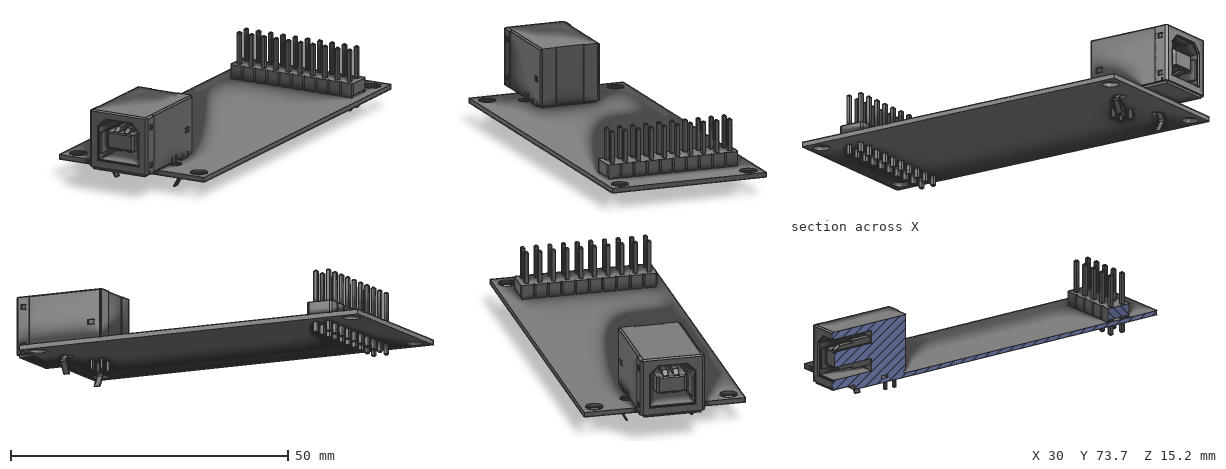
import cadquery as cq

TINY_OVERLAP = 0.05

board_width = 30.0
board_length = 68.5
board_thickness = 0.88
mount_hole_diameter = 3.1
mount_hole_inset = 2.5

header_columns = 10
header_rows = 2
pitch = 2.54
header_center_x = 0.6
header_center_y = board_length / 2 - 8.67
header_depth = 4.9
header_top = 2.65
header_standoff = 0.4
header_notch_width = 0.22
header_notch_depth = 0.4
foot_depth = 0.35
header_hole_diameter = 1.02
header_pin_side = 0.64
header_pin_tip = 0.22
header_pin_top = 8.7
header_pin_bottom = -2.84

socket_center_x = 0.15
overall_length = 73.71
overall_height = 15.22
socket_front = board_length / 2 - overall_length
socket_half_width = 5.78
socket_bottom = 0.44
clip_bottom = -4.1
socket_top = clip_bottom + overall_height
socket_back = socket_front + 16.82
top_half_width = 5.4
top_chamfer = 0.22
collar_half_width = 5.98
face_half_width = 5.5
face_bevel = 0.4
collar_length = 2.6
back_flap_width = 2.7
back_flap_thickness = 0.22

base_half_width = 5.3
base_end_inset = 0.35
base_gap_length = 1.3
base_gap_front = socket_front + 11.4

signal_pin_half_spacing = 1.25
signal_pin_row_spacing = 2.0
signal_pin_width = 0.45
signal_pin_bottom = -2.65
signal_hole_diameter = 0.92
rear_pin_y = board_length / 2 - 58.7
front_pin_y = rear_pin_y - signal_pin_row_spacing
clip_y = front_pin_y - 2.72
clip_width = 1.1
clip_thickness = 0.25
clip_elbow_x = 7.35
clip_elbow_top = -1.6
clip_elbow_bottom = -2.0
clip_tip_x = 6.15
clip_hole_x = 6.02
clip_hole_diameter = 2.3

opening_half_width = 4.1
opening_bottom = 1.95
opening_top = 9.6
mouth_margin = 0.2
mouth_depth = 0.4
opening_chamfer = 1.6
opening_depth = 9.0
tongue_half_width = 2.8
tongue_bottom = 4.25
tongue_top = 7.3
tongue_recess = 0.55
tongue_side_chamfer = 0.5
tongue_top_chamfer = 0.2
contact_half_spacing = 1.0
contact_width = 0.95
contact_rise = 0.75
contact_ramp = 1.2
contact_heel_rise = 1.15
contact_heel_length = 4.0
side_spring_thickness = 0.4
side_spring_bottom = 3.1
side_spring_top = 6.9

mark_depth = 0.3
notch_width = 0.2
notch_height = 0.5
collar_notch_y = 1.05
notch_offset = 0.4
notch_places = (
    (rear_pin_y + notch_offset, socket_half_width),
    (front_pin_y + notch_offset, socket_half_width),
    (socket_front + collar_notch_y, collar_half_width),
)
clip_slit_height = 0.9
rear_slit_width = 0.45
front_slit_width = 0.2
collar_mark_size = 0.88
collar_mark_y = socket_front + 1.5
collar_mark_bottoms = (1.56, 8.67)
rear_mark_length = 1.33
rear_mark_height = 0.9
rear_mark_y = socket_back - 1.75
rear_mark_bottom = 4.67


def block(x_range, y_range, z_range):
    """Box between two limits on each axis."""
    size = [high - low for low, high in (x_range, y_range, z_range)]
    corner = (x_range[0], y_range[0], z_range[0])
    return cq.Workplane("XY").box(*size, centered=False).translate(corner)


def cut_corner_outline(half_x, half_y, cut_x, cut_y):
    """Rectangle with all four corners cut off."""
    return [
        (half_x, half_y - cut_y),
        (half_x - cut_x, half_y),
        (cut_x - half_x, half_y),
        (-half_x, half_y - cut_y),
        (-half_x, cut_y - half_y),
        (cut_x - half_x, -half_y),
        (half_x - cut_x, -half_y),
        (half_x, cut_y - half_y),
    ]


def header_pin_places():
    """Pin centres of the header."""
    return [
        (
            header_center_x + (column - (header_columns - 1) / 2) * pitch,
            header_center_y + (row - (header_rows - 1) / 2) * pitch,
        )
        for column in range(header_columns)
        for row in range(header_rows)
    ]


def signal_pin_places():
    """Centres of the four socket pins, relative to the socket centre in X."""
    return [
        (side * signal_pin_half_spacing, y)
        for side in (-1, 1)
        for y in (rear_pin_y, front_pin_y)
    ]


def make_board():
    """Plain plate with mounting, header, signal pin and clip holes."""
    plate = block(
        (-board_width / 2, board_width / 2),
        (-board_length / 2, board_length / 2),
        (-board_thickness, 0),
    )
    mount_x = board_width / 2 - mount_hole_inset
    mount_y = board_length / 2 - mount_hole_inset
    corners = [(sx * mount_x, sy * mount_y) for sx in (-1, 1) for sy in (-1, 1)]
    signal_pins = [(x + socket_center_x, y) for x, y in signal_pin_places()]
    clips = [(side * clip_hole_x + socket_center_x, clip_y) for side in (-1, 1)]
    hole_groups = (
        (corners, mount_hole_diameter),
        (header_pin_places(), header_hole_diameter),
        (signal_pins, signal_hole_diameter),
        (clips, clip_hole_diameter),
    )
    for places, diameter in hole_groups:
        holes = cq.Workplane("XY").pushPoints(places).circle(diameter / 2).extrude(-board_thickness)
        plate = plate.cut(holes)
    return plate


def make_header():
    """Notched block on small feet, with square pins through it."""
    header = None
    for column in range(header_columns):
        x = header_center_x + (column - (header_columns - 1) / 2) * pitch
        outline = cut_corner_outline(pitch / 2, header_depth / 2, header_notch_width, header_notch_depth)
        cell = (
            cq.Workplane("XY", origin=(x, header_center_y, header_standoff))
            .polyline(outline)
            .close()
            .extrude(header_top - header_standoff)
        )
        header = cell if header is None else header.union(cell)
        foot_half_width = pitch / 2 - header_notch_width
        for side in (-1, 1):
            foot_y = header_center_y + side * (header_depth - foot_depth) / 2
            foot = block(
                (x - foot_half_width, x + foot_half_width),
                (foot_y - foot_depth / 2, foot_y + foot_depth / 2),
                (0, header_standoff),
            )
            header = header.union(foot)
    for x, y in header_pin_places():
        pin = (
            cq.Workplane("XY", origin=(x, y, header_pin_bottom))
            .rect(header_pin_side, header_pin_side)
            .extrude(header_pin_top - header_pin_bottom)
            .faces("<Z or >Z")
            .chamfer(header_pin_tip)
        )
        header = header.union(pin)
    return header


def roofed_bar(half_width, y_range):
    """Bar along Y whose two upper edges slope up to the flat top of the shell."""
    front, back = y_range
    outline = [
        (-half_width, socket_bottom),
        (half_width, socket_bottom),
        (half_width, socket_top - top_chamfer),
        (top_half_width, socket_top),
        (-top_half_width, socket_top),
        (-half_width, socket_top - top_chamfer),
    ]
    return cq.Workplane("XZ", origin=(0, front, 0)).polyline(outline).close().extrude(front - back)


def make_shell():
    """Outer can with a bevelled collar at its mouth and two flaps bent over its back."""
    can = roofed_bar(socket_half_width, (socket_front, socket_back))
    collar = roofed_bar(collar_half_width, (socket_front, socket_front + collar_length))
    shell = can.union(collar)
    for side in (-1, 1):
        corner_x = side * collar_half_width
        bevel_profile = [
            (corner_x, socket_front),
            (side * face_half_width, socket_front),
            (corner_x, socket_front + face_bevel),
        ]
        bevel = cq.Workplane("XY").polyline(bevel_profile).close().extrude(socket_top)
        shell = shell.cut(bevel)
    top_bevel_profile = [
        (socket_front, socket_top),
        (socket_front, socket_top - top_chamfer),
        (socket_front + face_bevel, socket_top),
    ]
    top_bevel = (
        cq.Workplane("YZ")
        .polyline(top_bevel_profile)
        .close()
        .extrude(collar_half_width, both=True)
    )
    shell = shell.cut(top_bevel)
    for side in (-1, 1):
        flap_outer = side * top_half_width
        flap_inner = flap_outer - side * back_flap_width
        flap = block(
            sorted((flap_outer, flap_inner)),
            (socket_back, socket_back + back_flap_thickness),
            (socket_bottom, socket_top),
        )
        shell = shell.union(flap)
    return shell


def opening(margin, depth):
    """Plug recess with its two upper corners cut off, grown outwards by a margin."""
    half_width = opening_half_width + margin
    top = opening_top + margin
    bottom = opening_bottom - margin
    outline = [
        (-half_width, bottom),
        (half_width, bottom),
        (half_width, top - opening_chamfer),
        (half_width - opening_chamfer, top),
        (opening_chamfer - half_width, top),
        (-half_width, top - opening_chamfer),
    ]
    return (
        cq.Workplane("XZ", origin=(0, socket_front, 0))
        .polyline(outline)
        .close()
        .extrude(-depth)
    )


def tongue():
    """Contact carrier inside the opening, with two stepped contacts above and below."""
    back = socket_front + opening_depth + TINY_OVERLAP
    front = socket_front + tongue_recess
    carrier = block((-tongue_half_width, tongue_half_width), (front, back), (tongue_bottom, tongue_top))
    carrier = carrier.faces("<Y").edges("|X").chamfer(tongue_top_chamfer)
    carrier = carrier.faces("<Y").edges("|Z").chamfer(tongue_side_chamfer)
    for x in (-contact_half_spacing, contact_half_spacing):
        for face_z, direction in ((tongue_top, 1), (tongue_bottom, -1)):
            root_z = face_z - direction * TINY_OVERLAP
            blade_z = face_z + direction * contact_rise
            heel_z = face_z + direction * contact_heel_rise
            toe_y = front + tongue_side_chamfer
            profile = [
                (toe_y, root_z),
                (back, root_z),
                (back, heel_z),
                (back - contact_heel_length, heel_z),
                (back - contact_heel_length, blade_z),
                (toe_y + contact_ramp, blade_z),
            ]
            contact = (
                cq.Workplane("YZ", origin=(x - contact_width / 2, 0, 0))
                .polyline(profile)
                .close()
                .extrude(contact_width)
            )
            carrier = carrier.union(contact)
    return carrier


def side_springs():
    """Ribs on the two side walls of the opening."""
    springs = cq.Workplane("XY")
    for side in (-1, 1):
        wall_x = side * (opening_half_width + TINY_OVERLAP)
        inner_x = side * (opening_half_width - side_spring_thickness)
        rib = block(
            sorted((wall_x, inner_x)),
            (socket_front + tongue_recess, socket_front + opening_depth + TINY_OVERLAP),
            (side_spring_bottom, side_spring_top),
        )
        springs = springs.add(rib)
    return springs.combine()


def side_mark(side, wall_half_width, y_range, z_range):
    """Shallow rectangular recess in one outer side of the shell."""
    outer_x = side * (wall_half_width + TINY_OVERLAP)
    inner_x = side * (wall_half_width - mark_depth)
    return block(sorted((outer_x, inner_x)), y_range, z_range)


def mark_shell_sides(shell):
    """Cuts the recesses, bottom notches and clip slits into both sides."""
    for side in (-1, 1):
        for bottom in collar_mark_bottoms:
            y_range = (collar_mark_y - collar_mark_size / 2, collar_mark_y + collar_mark_size / 2)
            z_range = (bottom, bottom + collar_mark_size)
            shell = shell.cut(side_mark(side, collar_half_width, y_range, z_range))
        y_range = (rear_mark_y - rear_mark_length / 2, rear_mark_y + rear_mark_length / 2)
        z_range = (rear_mark_bottom, rear_mark_bottom + rear_mark_height)
        shell = shell.cut(side_mark(side, socket_half_width, y_range, z_range))
        notch_top = socket_bottom + notch_height
        for y, half_width in notch_places:
            y_range = (y - notch_width / 2, y + notch_width / 2)
            shell = shell.cut(side_mark(side, half_width, y_range, (socket_bottom, notch_top)))
        slit_top = socket_bottom + clip_slit_height
        rear_edge = clip_y + clip_width / 2
        front_edge = clip_y - clip_width / 2
        for y_range in (
            (rear_edge, rear_edge + rear_slit_width),
            (front_edge - front_slit_width, front_edge),
        ):
            shell = shell.cut(side_mark(side, socket_half_width, y_range, (socket_bottom, slit_top)))
    return shell


def make_side_feet():
    """Strips of both shell sides that reach down to the board beside the signal pins."""
    y_range = (base_gap_front + base_gap_length, rear_pin_y + notch_offset - notch_width / 2)
    return [
        block(
            sorted((side * socket_half_width, side * (base_half_width - TINY_OVERLAP))),
            y_range,
            (0, socket_bottom),
        )
        for side in (-1, 1)
    ]


def make_base():
    """Plastic underside resting on the board, split by a cross gap behind the clips."""
    x_range = (-base_half_width, base_half_width)
    z_range = (0, socket_bottom)
    gap_back = base_gap_front + base_gap_length
    rear = block(x_range, (gap_back, socket_back - base_end_inset), z_range)
    front = block(x_range, (socket_front + base_end_inset, base_gap_front), z_range)
    return rear, front


def make_signal_pin(x, y):
    """Square pin going down from the base through the board."""
    half = signal_pin_width / 2
    return block((x - half, x + half), (y - half, y + half), (signal_pin_bottom, socket_bottom))


def make_clip(side):
    """Bent sheet tab that snaps under the board."""
    outer = [
        (socket_half_width, socket_bottom + clip_slit_height),
        (socket_half_width, 0),
        (clip_elbow_x, clip_elbow_top),
        (clip_elbow_x, clip_elbow_bottom),
        (clip_tip_x, clip_bottom),
    ]
    inner = [(x - clip_thickness, z) for x, z in reversed(outer)]
    outline = [(side * x, z) for x, z in outer + inner]
    return (
        cq.Workplane("XZ", origin=(0, clip_y + clip_width / 2, 0))
        .polyline(outline)
        .close()
        .extrude(clip_width)
    )


def make_socket():
    """USB socket with its shell, tongue, base, pins and clips as one solid."""
    shell = make_shell().cut(opening(0, opening_depth)).cut(opening(mouth_margin, mouth_depth))
    socket = mark_shell_sides(shell.union(tongue()).union(side_springs()))
    for lower_part in (*make_base(), *make_side_feet()):
        socket = socket.union(lower_part)
    for x, y in signal_pin_places():
        socket = socket.union(make_signal_pin(x, y))
    for side in (-1, 1):
        socket = socket.union(make_clip(side))
    return socket


board_with_socket = make_board().union(make_socket().translate((socket_center_x, 0, 0)))

pin_header = make_header()

result = cq.Compound.makeCompound([board_with_socket.val(), pin_header.val()])